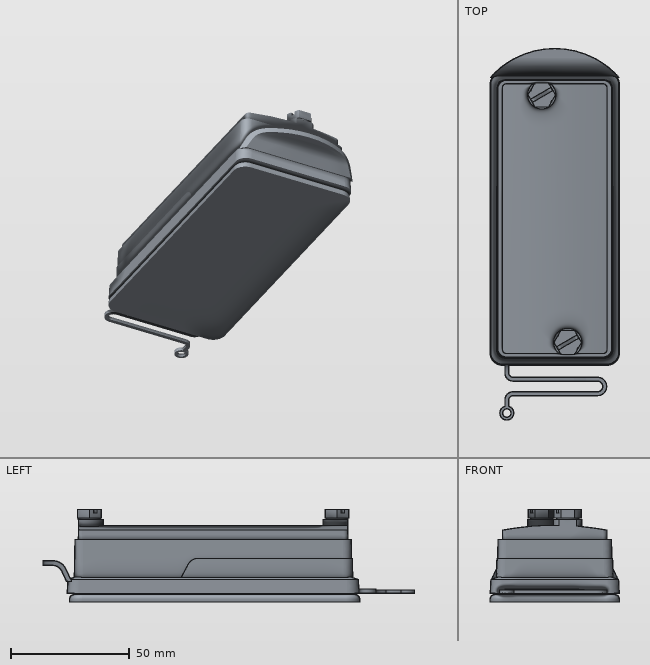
import cadquery as cq
import math

GASKET_RIM_TOP = 1.1
GASKET_ROUND_TOP = 3.3
GASKET_TOP = 3.8
FLANGE_TOP = 9.5
FLANGE_SLOPE_TOP = 10.7
PAD_TOP = 18.5
WALL_TOP = 26.5
CROWN_EDGE = 30.5
CROWN_APEX = 32.5
BOSS_TOP = 35.0
HEAD_BOTTOM = 35.5
OVERALL_HEIGHT = 39.2

GASKET_WIDTH = 54.8
GASKET_FRONT = -62.0
GASKET_BACK = 60.7
GASKET_CORNER = 5.5

FLANGE_HALF = (27.3, 61.7)
FLANGE_CORNER = 5.0
FLANGE_DRAFT = 0.3
FLANGE_SLOPE_INSET = 3.1
WALL_HALF = (24.3, 58.7)
WALL_CORNER = 3.8
WALL_DRAFT = 0.3
CAP_HALF = (22.1, 57.0)
CAP_CORNER = 1.7
CAP_DRAFT = 0.2

PAD_RAISE = 0.3
PAD_END_Y = 14.0
PAD_END_ANGLE = 62
PAD_END_RADIUS = 4.7

TONGUE_TIP_Y = 71.9
TONGUE_PLAN_RADIUS = 36.1
TONGUE_TOP = 17.5
TONGUE_THICKNESS = 2.0
TONGUE_BEND_Y = 67.8
TONGUE_BEND_RADIUS = 6.3
TONGUE_SLOPE_ANGLE = 65
TONGUE_ROOT_Z = 8.8

STRAP_X = -20.2
STRAP_WIDTH = 1.7
STRAP_THICK = 1.9
STRAP_THIN = 1.4
STRAP_START_Y = -60.4
STRAP_RUN_Y = (-67.8, -73.9)
STRAP_BEND = 2.7
STRAP_RETURN_X = 18.0
RAMP_START_X = 8.3
RAMP_END_X = 13.3
RING_OUTER_RADIUS = 3.0
RING_HOLE_RADIUS = 1.7
RING_Y = -82.0

SCREW_PLACES = [(-5.5, 52.3), (5.5, -52.3)]
BOSS_RADIUS = 6.0
HEAD_SIDES = 6
HEAD_ACROSS_FLATS = 10.0
BEARING_RADIUS = 4.7
SLOT_WIDTH = 1.5
SLOT_DEPTH = 1.5
SLOT_ANGLE = 30


def drafted_block(half_size, corner, bottom, top, inset):
    """Rounded block whose sides lean inwards by inset between bottom and top."""
    height = top - bottom
    return (
        cq.Workplane("XY", origin=(0, 0, bottom))
        .sketch()
        .rect(2 * half_size[0], 2 * half_size[1])
        .vertices()
        .fillet(corner)
        .finalize()
        .extrude(height, taper=math.degrees(math.atan2(inset, height)))
    )


def grown(half_size, amount):
    """Half width and half length, each enlarged by amount."""
    return (half_size[0] + amount, half_size[1] + amount)


def make_gasket():
    """Flat sealing plate with a rounded upper edge and a low flat seat under the flange."""
    length = GASKET_BACK - GASKET_FRONT
    middle = (GASKET_BACK + GASKET_FRONT) / 2
    half_size = (GASKET_WIDTH / 2, length / 2)
    round_radius = GASKET_ROUND_TOP - GASKET_RIM_TOP
    rim = drafted_block(half_size, GASKET_CORNER, 0, GASKET_ROUND_TOP, 0)
    rim = rim.faces(">Z").edges().fillet(round_radius)
    seat = drafted_block(
        grown(half_size, -round_radius),
        GASKET_CORNER - round_radius,
        0,
        GASKET_TOP,
        0,
    )
    return rim.union(seat).translate((0, middle, 0))


def make_flange():
    """Broad foot of the housing with a shallow slope running up into the wall."""
    sides = drafted_block(FLANGE_HALF, FLANGE_CORNER, GASKET_TOP, FLANGE_TOP, FLANGE_DRAFT)
    slope = drafted_block(
        grown(FLANGE_HALF, -FLANGE_DRAFT),
        FLANGE_CORNER - FLANGE_DRAFT,
        FLANGE_TOP,
        FLANGE_SLOPE_TOP,
        FLANGE_SLOPE_INSET,
    )
    return sides.union(slope)


def make_wall():
    return drafted_block(WALL_HALF, WALL_CORNER, FLANGE_TOP, WALL_TOP, WALL_DRAFT)


def make_pad():
    """Thin raised band on the lower wall, ending halfway back in a sloping, rounded edge."""
    band = drafted_block(
        grown(WALL_HALF, PAD_RAISE),
        WALL_CORNER,
        FLANGE_TOP,
        PAD_TOP,
        WALL_DRAFT * (PAD_TOP - FLANGE_TOP) / (WALL_TOP - FLANGE_TOP),
    )
    end_run = (PAD_TOP - FLANGE_TOP) / math.tan(math.radians(PAD_END_ANGLE))
    front = -FLANGE_HALF[1]
    side_outline = (
        cq.Workplane("YZ")
        .moveTo(front, FLANGE_TOP)
        .lineTo(PAD_END_Y, FLANGE_TOP)
        .lineTo(PAD_END_Y - end_run, PAD_TOP)
        .lineTo(front, PAD_TOP)
        .close()
        .extrude(FLANGE_HALF[0], both=True)
        .edges("|X").edges(">Z").edges(">Y")
        .fillet(PAD_END_RADIUS)
    )
    return band.intersect(side_outline)


def make_cap():
    """Top tier with a crowned lid and the two screw bosses, all cut flush to its sides."""
    block = drafted_block(CAP_HALF, CAP_CORNER, WALL_TOP, OVERALL_HEIGHT, CAP_DRAFT)
    half_width, half_length = CAP_HALF
    crown = (
        cq.Workplane("XZ")
        .moveTo(-half_width, WALL_TOP)
        .lineTo(half_width, WALL_TOP)
        .lineTo(half_width, CROWN_EDGE)
        .threePointArc((0, CROWN_APEX), (-half_width, CROWN_EDGE))
        .close()
        .extrude(half_length, both=True)
    )
    bosses = (
        cq.Workplane("XY", origin=(0, 0, WALL_TOP))
        .pushPoints(SCREW_PLACES)
        .circle(BOSS_RADIUS)
        .extrude(BOSS_TOP - WALL_TOP)
    )
    return block.intersect(crown.union(bosses))


def make_tongue():
    """Curved sheet rising from the flange and levelling off, with an arched free edge."""
    angle = math.radians(TONGUE_SLOPE_ANGLE)
    centre_z = TONGUE_TOP - TONGUE_BEND_RADIUS
    inner_radius = TONGUE_BEND_RADIUS - TONGUE_THICKNESS

    def on_bend(radius, turn):
        return (
            TONGUE_BEND_Y - radius * math.sin(turn),
            centre_z + radius * math.cos(turn),
        )

    def root_below(point):
        return (point[0] - (point[1] - TONGUE_ROOT_Z) / math.tan(angle), TONGUE_ROOT_Z)

    outer_end = on_bend(TONGUE_BEND_RADIUS, angle)
    inner_end = on_bend(inner_radius, angle)
    profile = (
        cq.Workplane("YZ")
        .moveTo(TONGUE_TIP_Y, TONGUE_TOP)
        .lineTo(TONGUE_BEND_Y, TONGUE_TOP)
        .threePointArc(on_bend(TONGUE_BEND_RADIUS, angle / 2), outer_end)
        .lineTo(*root_below(outer_end))
        .lineTo(*root_below(inner_end))
        .lineTo(*inner_end)
        .threePointArc(on_bend(inner_radius, angle / 2), on_bend(inner_radius, 0))
        .lineTo(TONGUE_TIP_Y, TONGUE_TOP - TONGUE_THICKNESS)
        .close()
        .extrude(FLANGE_HALF[0], both=True)
    )
    plan = (
        cq.Workplane("XY")
        .center(0, TONGUE_TIP_Y - TONGUE_PLAN_RADIUS)
        .circle(TONGUE_PLAN_RADIUS)
        .extrude(TONGUE_TOP)
    )
    return profile.intersect(plan)


def make_strap():
    """Flat strap folded into an S, thick over its first run, ending in a ring."""
    first_run, second_run = STRAP_RUN_Y
    turn_radius = (first_run - second_run) / 2
    fold_y = (first_run + second_run) / 2
    corner_offset = STRAP_BEND * (1 - math.sqrt(0.5))
    path = (
        cq.Workplane("XY")
        .moveTo(STRAP_X, STRAP_START_Y)
        .lineTo(STRAP_X, first_run + STRAP_BEND)
        .threePointArc(
            (STRAP_X + corner_offset, first_run + corner_offset),
            (STRAP_X + STRAP_BEND, first_run),
        )
        .lineTo(STRAP_RETURN_X, first_run)
        .threePointArc((STRAP_RETURN_X + turn_radius, fold_y), (STRAP_RETURN_X, second_run))
        .lineTo(STRAP_X + STRAP_BEND, second_run)
        .threePointArc(
            (STRAP_X + corner_offset, second_run - corner_offset),
            (STRAP_X, second_run - STRAP_BEND),
        )
        .lineTo(STRAP_X, RING_Y)
    )
    ribbon = (
        cq.Workplane("XZ", origin=(STRAP_X, STRAP_START_Y, GASKET_TOP + STRAP_THICK / 2))
        .rect(STRAP_WIDTH, STRAP_THICK)
        .sweep(path)
    )
    thick_top = GASKET_TOP + STRAP_THICK
    thin_top = GASKET_TOP + STRAP_THIN
    past_fold = FLANGE_HALF[0]
    ramp_cut = (
        cq.Workplane("XZ", origin=(0, STRAP_START_Y, 0))
        .moveTo(RAMP_START_X, thick_top)
        .lineTo(RAMP_END_X, thin_top)
        .lineTo(past_fold, thin_top)
        .lineTo(past_fold, thick_top)
        .close()
        .extrude(STRAP_START_Y - fold_y)
    )
    return_cut = (
        cq.Workplane("XY", origin=(0, 0, thin_top))
        .moveTo(-past_fold, fold_y)
        .lineTo(past_fold, fold_y)
        .lineTo(past_fold, RING_Y)
        .lineTo(-past_fold, RING_Y)
        .close()
        .extrude(STRAP_THICK - STRAP_THIN)
    )
    ring = cq.Workplane("XY", origin=(STRAP_X, RING_Y, GASKET_TOP))
    return (
        ribbon.cut(ramp_cut)
        .cut(return_cut)
        .union(ring.circle(RING_OUTER_RADIUS).extrude(STRAP_THIN))
        .cut(ring.circle(RING_HOLE_RADIUS).extrude(STRAP_THICK))
    )


def make_housing():
    housing = make_flange()
    for feature in (make_wall(), make_pad(), make_cap(), make_tongue(), make_strap()):
        housing = housing.union(feature)
    return housing


def make_screw(place):
    """Slotted hexagon head on a round bearing face that rests on the boss."""
    across_corners = HEAD_ACROSS_FLATS / math.cos(math.pi / HEAD_SIDES)
    head = (
        cq.Workplane("XY", origin=(0, 0, HEAD_BOTTOM))
        .polygon(HEAD_SIDES, across_corners)
        .extrude(OVERALL_HEIGHT - HEAD_BOTTOM)
    )
    bearing_face = (
        cq.Workplane("XY", origin=(0, 0, BOSS_TOP))
        .circle(BEARING_RADIUS)
        .extrude(HEAD_BOTTOM - BOSS_TOP)
    )
    slot = (
        cq.Workplane("XY", origin=(0, 0, OVERALL_HEIGHT - SLOT_DEPTH))
        .rect(across_corners, SLOT_WIDTH)
        .extrude(SLOT_DEPTH)
        .rotate((0, 0, 0), (0, 0, 1), SLOT_ANGLE)
    )
    return head.union(bearing_face).cut(slot).translate((place[0], place[1], 0))


gasket = make_gasket()
housing = make_housing()
screws = [make_screw(place) for place in SCREW_PLACES]

result = cq.Compound.makeCompound(
    [gasket.solids().val(), housing.solids().val(), *[screw.solids().val() for screw in screws]]
)